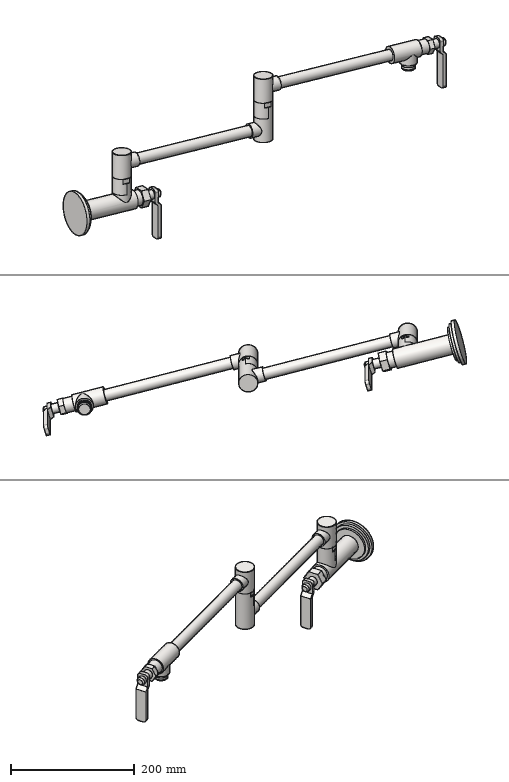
import cadquery as cq

FLANGE_DIAMETER = 74.17
FLANGE_RIM_THICKNESS = 5.5
FLANGE_SHOULDER_DIAMETER = 66.0
FLANGE_SHOULDER_Y = 10.3
FLANGE_HUB_DIAMETER = 56.0
FLANGE_HUB_Y = 14.0

WALL_BODY_DIAMETER = 32.7
WALL_BODY_END_Y = 110.0
WALL_NECK_DIAMETER = 26.5
WALL_NUT_START_Y = 121.0
WALL_NUT_END_Y = 133.8
WALL_NUT_CORNERS = 35.0
WALL_TIP_Y = 161.0

POST_DIAMETER = 31.5
POST_CHAMFER = 0.6
ELBOW_HEIGHT = 43.0
ARM_TO_POST_END = 20.0
WALL_POST_Y = 88.8
LOWER_ARM_Z = 69.5
MIDDLE_POST_Y = 357.6
UPPER_ARM_Z = 142.31
ARM_DIAMETER = 19.2
COLLAR_DIAMETER = 24.0
COLLAR_REACH = 27.0

JOINT_STEP = 0.1
SLEEVE_HEIGHT = 28.0
SLEEVE_RELIEF = 0.1
STOP_POCKET_WIDTH = 12.0
STOP_POCKET_HEIGHT = 8.5
STOP_POCKET_DEPTH = 2.0

SPOUT_BODY_DIAMETER = 29.0
SPOUT_BODY_START_Y = 598.3
SPOUT_BODY_END_Y = 650.8
SPOUT_NECK_DIAMETER = 24.5
SPOUT_NUT_START_Y = 666.2
SPOUT_NUT_END_Y = 675.5
SPOUT_NUT_CORNERS = 28.5
SPOUT_TIP_Y = 702.4

OUTLET_Y = 633.4
OUTLET_DIAMETER = 28.7
OUTLET_DROP = 21.0
AERATOR_DIAMETER = 23.0
AERATOR_DROP = 32.5
AERATOR_CHAMFER = 2.0
AERATOR_GROOVE_DROP = 25.5
AERATOR_GROOVE_WIDTH = 4.0
AERATOR_GROOVE_DEPTH = 0.5

STEM_DIAMETER = 16.0
CAP_DIAMETER = 14.0
CAP_LENGTH = 8.3
CAP_CHAMFER = 2.5
LEVER_THICKNESS = 6.5
LEVER_WIDTH = 18.5
LEVER_TOP = 10.8
LEVER_LENGTH = 78.8
LEVER_OFFSET = 5.8
LEVER_BEND_START = 11.5
LEVER_BEND_END = 18.0
LEVER_CORNER_RADIUS = 5.0


def cylinder_y(diameter, y_start, y_end, z):
    """Cylinder along Y, between two Y positions, at height z."""
    plane = cq.Plane(origin=(0, y_start, z), xDir=(1, 0, 0), normal=(0, 1, 0))
    return cq.Workplane(plane).circle(diameter / 2).extrude(y_end - y_start)


def cylinder_z(diameter, z_start, z_end, y):
    """Cylinder along Z, between two heights, at position y."""
    return cq.Workplane("XY", origin=(0, y, z_start)).circle(diameter / 2).extrude(z_end - z_start)


def hexagonal_nut(across_corners, y_start, y_end, z):
    """Hexagonal nut along Y with two of its corners on the X direction."""
    plane = cq.Plane(origin=(0, y_start, z), xDir=(1, 0, 0), normal=(0, 1, 0))
    return cq.Workplane(plane).polygon(6, across_corners).extrude(y_end - y_start)


def wall_flange():
    rim = cylinder_y(FLANGE_DIAMETER, 0, FLANGE_RIM_THICKNESS, 0)
    shoulder = cylinder_y(FLANGE_SHOULDER_DIAMETER, 0, FLANGE_SHOULDER_Y, 0)
    hub = cylinder_y(FLANGE_HUB_DIAMETER, 0, FLANGE_HUB_Y, 0)
    return rim.union(shoulder).union(hub)


def lever(tip_y, z):
    """Flat lever with rounded corners, bent outwards below the valve axis."""
    front = tip_y - CAP_LENGTH
    back = front - LEVER_THICKNESS
    plate = (
        cq.Workplane("YZ", origin=(-LEVER_WIDTH / 2, 0, z))
        .polyline([
            (back, LEVER_TOP),
            (front, LEVER_TOP),
            (front, -LEVER_BEND_START),
            (front + LEVER_OFFSET, -LEVER_BEND_END),
            (front + LEVER_OFFSET, -LEVER_LENGTH),
            (back + LEVER_OFFSET, -LEVER_LENGTH),
            (back + LEVER_OFFSET, -LEVER_BEND_END),
            (back, -LEVER_BEND_START),
        ])
        .close()
        .extrude(LEVER_WIDTH)
    )
    return plate.edges("|Y and (<Z or >Z)").fillet(LEVER_CORNER_RADIUS)


def handle(nut_end_y, tip_y, z):
    """Stem, lever and end cap of one valve."""
    stem = cylinder_y(STEM_DIAMETER, nut_end_y, tip_y - CAP_LENGTH, z)
    cap = cylinder_y(CAP_DIAMETER, tip_y - CAP_LENGTH, tip_y, z).faces(">Y").chamfer(CAP_CHAMFER)
    return stem.union(cap).union(lever(tip_y, z))


def swivel_post(y, z_bottom, z_top):
    """Vertical post: an elbow on top of a swivel sleeve with two stop pockets."""
    joint_z = z_top - ELBOW_HEIGHT
    post_radius = POST_DIAMETER / 2
    lower_diameter = POST_DIAMETER - 2 * JOINT_STEP
    elbow = cylinder_z(POST_DIAMETER, joint_z, z_top, y).faces(">Z").chamfer(POST_CHAMFER)
    lower = cylinder_z(lower_diameter, z_bottom, joint_z, y)

    sleeve_z = joint_z - SLEEVE_HEIGHT
    relief = cylinder_z(POST_DIAMETER, sleeve_z, joint_z, y).cut(
        cylinder_z(lower_diameter - 2 * SLEEVE_RELIEF, sleeve_z, joint_z, y)
    )
    wall_side = cq.Workplane("XY", origin=(0, y - post_radius, sleeve_z)).box(
        POST_DIAMETER, post_radius, SLEEVE_HEIGHT, centered=(True, False, False)
    )
    lower = lower.cut(relief.intersect(wall_side))

    for side in (-1, 1):
        lower = lower.cut(
            cq.Workplane("XY", origin=(side * post_radius, y, joint_z - STOP_POCKET_HEIGHT)).box(
                2 * STOP_POCKET_DEPTH, STOP_POCKET_WIDTH, STOP_POCKET_HEIGHT, centered=(True, True, False)
            )
        )
    return elbow.union(lower)


def wall_valve():
    body = cylinder_y(WALL_BODY_DIAMETER, 0, WALL_BODY_END_Y, 0)
    neck = cylinder_y(WALL_NECK_DIAMETER, WALL_BODY_END_Y, WALL_NUT_START_Y, 0)
    nut = hexagonal_nut(WALL_NUT_CORNERS, WALL_NUT_START_Y, WALL_NUT_END_Y, 0)
    return body.union(neck).union(nut).union(handle(WALL_NUT_END_Y, WALL_TIP_Y, 0))


def spout_outlet():
    """Downward outlet with a stepped, grooved aerator."""
    outlet = cylinder_z(OUTLET_DIAMETER, UPPER_ARM_Z - OUTLET_DROP, UPPER_ARM_Z, OUTLET_Y)
    aerator = cylinder_z(AERATOR_DIAMETER, UPPER_ARM_Z - AERATOR_DROP, UPPER_ARM_Z - OUTLET_DROP, OUTLET_Y)
    aerator = aerator.faces("<Z").chamfer(AERATOR_CHAMFER)
    groove_z = UPPER_ARM_Z - AERATOR_GROOVE_DROP
    core_diameter = AERATOR_DIAMETER - 2 * AERATOR_GROOVE_DEPTH
    groove = cylinder_z(AERATOR_DIAMETER, groove_z - AERATOR_GROOVE_WIDTH, groove_z, OUTLET_Y).cut(
        cylinder_z(core_diameter, groove_z - AERATOR_GROOVE_WIDTH, groove_z, OUTLET_Y)
    )
    return outlet.union(aerator.cut(groove))


def spout_valve():
    body = cylinder_y(SPOUT_BODY_DIAMETER, SPOUT_BODY_START_Y, SPOUT_BODY_END_Y, UPPER_ARM_Z)
    neck = cylinder_y(SPOUT_NECK_DIAMETER, SPOUT_BODY_END_Y, SPOUT_NUT_START_Y, UPPER_ARM_Z)
    nut = hexagonal_nut(SPOUT_NUT_CORNERS, SPOUT_NUT_START_Y, SPOUT_NUT_END_Y, UPPER_ARM_Z)
    valve = body.union(neck).union(nut).union(spout_outlet())
    return valve.union(handle(SPOUT_NUT_END_Y, SPOUT_TIP_Y, UPPER_ARM_Z))


def lower_arm():
    """Arm from the wall post to the middle post, with a collar at each end."""
    arm = cylinder_y(ARM_DIAMETER, WALL_POST_Y, MIDDLE_POST_Y, LOWER_ARM_Z)
    wall_collar = cylinder_y(COLLAR_DIAMETER, WALL_POST_Y, WALL_POST_Y + COLLAR_REACH, LOWER_ARM_Z)
    middle_collar = cylinder_y(COLLAR_DIAMETER, MIDDLE_POST_Y - COLLAR_REACH, MIDDLE_POST_Y, LOWER_ARM_Z)
    return arm.union(wall_collar).union(middle_collar)


def upper_arm():
    """Arm from the middle post to the spout valve, with a collar at the post."""
    arm = cylinder_y(ARM_DIAMETER, MIDDLE_POST_Y, SPOUT_BODY_START_Y, UPPER_ARM_Z)
    collar = cylinder_y(COLLAR_DIAMETER, MIDDLE_POST_Y, MIDDLE_POST_Y + COLLAR_REACH, UPPER_ARM_Z)
    return arm.union(collar)


wall_post = swivel_post(WALL_POST_Y, 0, LOWER_ARM_Z + ARM_TO_POST_END)
middle_post = swivel_post(MIDDLE_POST_Y, LOWER_ARM_Z - ARM_TO_POST_END, UPPER_ARM_Z + ARM_TO_POST_END)

result = (
    wall_flange()
    .union(wall_valve())
    .union(wall_post)
    .union(lower_arm())
    .union(middle_post)
    .union(upper_arm())
    .union(spout_valve())
)